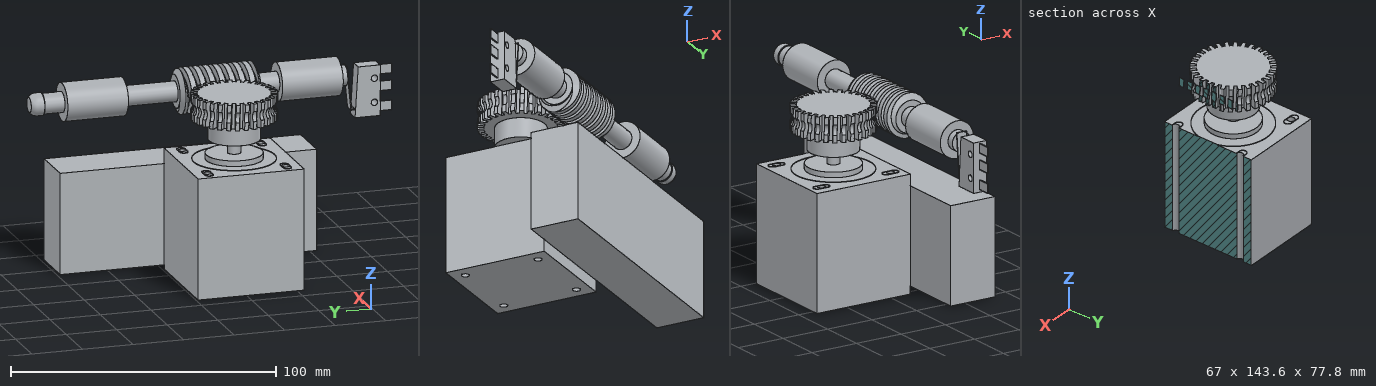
import cadquery as cq
import math

motor_width = 42.0
motor_height = 47.8
axis_distance = 24.0
worm_axis_z = 68.75

face_relief = 0.2
face_disc_diameter = 32.0
boss_diameter = 22.0
boss_height = 2.2
motor_shaft_diameter = 5.0
screw_spacing = 31.0
screw_hole_diameter = 3.0
pad_length = 7.0
pad_width = 3.2

block_gap = 5.0
block_width = 20.0
block_height = 40.0
block_front_y = -41.1

wheel_teeth = 30
wheel_diameter = 33.0
wheel_root_diameter = 28.0
wheel_thickness = 10.0
wheel_helix_angle = 2.0
gap_tip_width = 1.9
gap_root_width = 1.2
cut_clearance = 1.0
throat_width = 4.0
throat_depth = 0.8
hub_diameter = 20.0
hub_height = 8.0

worm_diameter = 18.0
worm_root_diameter = 13.0
worm_length = 32.0
worm_center_y = -0.25
worm_pitch = 3.9
worm_end_chamfer = 1.5
thread_crest_width = 2.2
thread_root_width = 3.2
thread_overlap = 0.3
thread_crest_y = 0.86

rod_diameter = 8.0
rod_front_y = -51.5
rod_length = 120.0
bearing_diameter = 15.0
bearing_length = 24.0
rear_bearing_y = 36.5
front_bearing_y = -48.5
cap_diameter = 8.9
cap_tip_diameter = 5.9
cap_ring_length = 2.2
cap_dome_length = 2.8

switch_width = 6.0
switch_height = 20.0
switch_top_z = 72.5
switch_back_y = -64.6
switch_depth_top = 8.75
switch_depth_bottom = 10.0
switch_hole_diameter = 2.5
switch_hole_y = -62.3
switch_hole_spacing = 9.5
switch_hole_center_z = 62.7
terminal_length = 5.48
terminal_height = 3.8
terminal_thickness = 0.5
terminal_centers_z = (69.9, 63.3, 55.4)
lever_width = 4.4
lever_thickness = 0.4
lever_top_z = 72.8
lever_bottom_z = 55.8
lever_drop = 1.7

wheel_bottom_z = worm_axis_z - wheel_thickness / 2
hub_bottom_z = wheel_bottom_z - hub_height
rod_end_y = rod_front_y + rod_length
block_left_x = motor_width / 2 + block_gap
block_length = rear_bearing_y + bearing_length - block_front_y
worm_front_y = worm_center_y - worm_length / 2
worm_rear_y = worm_center_y + worm_length / 2


def cylinder_along_y(diameter, start_y, length):
    """Cylinder on the worm axis, running from start_y toward +Y."""
    plane = cq.Plane(origin=(axis_distance, start_y, worm_axis_z), xDir=(1, 0, 0), normal=(0, 1, 0))
    return cq.Workplane(plane).circle(diameter / 2).extrude(length)


def revolve_on_worm_axis(half_profile):
    """Spin a closed (radius, y) profile, drawn in the XY plane, and move it to the worm axis."""
    return half_profile.close().revolve(360, (0, 0), (0, 1)).translate((axis_distance, 0, worm_axis_z))


def make_motor():
    top = cq.Workplane("XY", origin=(0, 0, motor_height))
    motor = cq.Workplane("XY").rect(motor_width, motor_width).extrude(motor_height)
    motor = motor.union(top.circle(face_disc_diameter / 2).extrude(face_relief))
    motor = motor.union(top.circle(boss_diameter / 2).extrude(face_relief + boss_height))
    motor = motor.union(top.circle(motor_shaft_diameter / 2).extrude(hub_bottom_z - motor_height))
    pads = top.rect(screw_spacing, screw_spacing, forConstruction=True).vertices()
    motor = motor.union(pads.slot2D(pad_length, pad_width).extrude(face_relief))
    holes = cq.Workplane("XY").rect(screw_spacing, screw_spacing, forConstruction=True).vertices()
    return motor.cut(holes.circle(screw_hole_diameter / 2).extrude(motor_height + face_relief))


def make_block():
    corner = (block_left_x, block_front_y, 0)
    return cq.Workplane("XY", origin=corner).box(block_width, block_length, block_height, centered=False)


def make_wheel():
    tip_radius = wheel_diameter / 2
    root_radius = wheel_root_diameter / 2
    blank = cq.Workplane("XY", origin=(0, 0, wheel_bottom_z)).circle(tip_radius).extrude(wheel_thickness)

    throat = (
        cq.Workplane("XZ", origin=(0, 0, worm_axis_z))
        .moveTo(tip_radius, -throat_width / 2)
        .threePointArc((tip_radius - throat_depth, 0), (tip_radius, throat_width / 2))
        .close()
        .revolve(360, (0, 0), (0, 1))
    )
    blank = blank.cut(throat)

    flank_slope = (gap_tip_width - gap_root_width) / 2 / (tip_radius - root_radius)
    outer_radius = tip_radius + cut_clearance
    outer_half_width = gap_tip_width / 2 + flank_slope * (outer_radius - tip_radius)
    twist = math.degrees(wheel_thickness * math.tan(math.radians(wheel_helix_angle)) / tip_radius)
    gap = (
        cq.Workplane("XY", origin=(0, 0, wheel_bottom_z))
        .polyline([
            (root_radius, -gap_root_width / 2),
            (outer_radius, -outer_half_width),
            (outer_radius, outer_half_width),
            (root_radius, gap_root_width / 2),
        ])
        .close()
        .twistExtrude(wheel_thickness, twist)
    )
    pitch_angle = 360 / wheel_teeth
    axis_start, axis_end = (0, 0, 0), (0, 0, 1)
    gaps = [
        gap.rotate(axis_start, axis_end, (i + 0.5) * pitch_angle - twist).val()
        for i in range(wheel_teeth)
    ]
    wheel = cq.Workplane(blank.val().cut(*gaps))

    hub = cq.Workplane("XY", origin=(0, 0, hub_bottom_z)).circle(hub_diameter / 2).extrude(hub_height)
    return wheel.union(hub).cut(cylinder_along_y(worm_diameter, worm_front_y, worm_length))


def make_worm():
    crest_radius = worm_diameter / 2
    root_radius = worm_root_diameter / 2
    envelope = revolve_on_worm_axis(
        cq.Workplane("XY").polyline([
            (0, worm_front_y),
            (root_radius, worm_front_y),
            (crest_radius, worm_front_y + worm_end_chamfer),
            (crest_radius, worm_rear_y - worm_end_chamfer),
            (root_radius, worm_rear_y),
            (0, worm_rear_y),
        ])
    )

    turns_each_side = math.ceil(worm_length / 2 / worm_pitch)
    start_y = thread_crest_y - turns_each_side * worm_pitch
    path = cq.Wire.makeHelix(worm_pitch, 2 * turns_each_side * worm_pitch, root_radius)
    thread = (
        cq.Workplane("XZ")
        .polyline([
            (root_radius - thread_overlap, -thread_root_width / 2),
            (root_radius, -thread_root_width / 2),
            (crest_radius, -thread_crest_width / 2),
            (crest_radius + thread_overlap, -thread_crest_width / 2),
            (crest_radius + thread_overlap, thread_crest_width / 2),
            (crest_radius, thread_crest_width / 2),
            (root_radius, thread_root_width / 2),
            (root_radius - thread_overlap, thread_root_width / 2),
        ])
        .close()
        .sweep(path, isFrenet=True)
        .rotate((0, 0, 0), (1, 0, 0), -90)
        .translate((axis_distance, start_y, worm_axis_z))
    )
    core = cylinder_along_y(worm_root_diameter, worm_front_y, worm_length)
    bore = cylinder_along_y(rod_diameter, worm_front_y, worm_length)
    return core.union(thread.intersect(envelope)).cut(bore)


def make_rod():
    return cylinder_along_y(rod_diameter, rod_front_y, rod_length)


def make_bearing(start_y):
    shell = cylinder_along_y(bearing_diameter, start_y, bearing_length)
    return shell.cut(cylinder_along_y(rod_diameter, start_y, bearing_length))


def make_end_cap():
    ring_end_y = rod_end_y + cap_ring_length
    tip_y = ring_end_y + cap_dome_length
    return revolve_on_worm_axis(
        cq.Workplane("XY")
        .moveTo(0, rod_end_y)
        .lineTo(cap_diameter / 2, rod_end_y)
        .lineTo(cap_diameter / 2, ring_end_y)
        .tangentArcPoint((cap_tip_diameter / 2, tip_y), relative=False)
        .lineTo(0, tip_y)
    )


def make_switch():
    side = cq.Workplane("YZ", origin=(axis_distance, 0, 0))
    bottom_z = switch_top_z - switch_height
    top_front_y = switch_back_y + switch_depth_top
    bottom_front_y = switch_back_y + switch_depth_bottom
    switch = (
        side.polyline([
            (switch_back_y, bottom_z),
            (bottom_front_y, bottom_z),
            (top_front_y, switch_top_z),
            (switch_back_y, switch_top_z),
        ])
        .close()
        .extrude(switch_width / 2, both=True)
    )
    hole_places = [(switch_hole_y, switch_hole_center_z + s * switch_hole_spacing / 2) for s in (-1, 1)]
    holes = side.pushPoints(hole_places).circle(switch_hole_diameter / 2)
    switch = switch.cut(holes.extrude(switch_width / 2, both=True))

    terminal_places = [(switch_back_y - terminal_length / 2, z) for z in terminal_centers_z]
    terminals = side.pushPoints(terminal_places).rect(terminal_length, terminal_height)
    switch = switch.union(terminals.extrude(terminal_thickness / 2, both=True))

    blade_top_y = rod_front_y - lever_thickness
    blade_bottom_y = blade_top_y - lever_drop
    lever = (
        side.polyline([
            (switch_back_y + switch_depth_top, lever_bottom_z - lever_thickness),
            (blade_bottom_y + lever_thickness, lever_bottom_z - lever_thickness),
            (rod_front_y, lever_top_z),
            (blade_top_y, lever_top_z),
            (blade_bottom_y, lever_bottom_z),
            (switch_back_y + switch_depth_top, lever_bottom_z),
        ])
        .close()
        .extrude(lever_width / 2, both=True)
    )
    return switch.union(lever)


motor = make_motor()
block = make_block()
wheel = make_wheel()
worm = make_worm()
rod = make_rod()
bearings = [make_bearing(start_y) for start_y in (front_bearing_y, rear_bearing_y)]
end_cap = make_end_cap()
switch = make_switch()

result = cq.Compound.makeCompound([
    motor.val(),
    block.val(),
    wheel.val(),
    worm.val(),
    rod.val(),
    *[bearing.val() for bearing in bearings],
    end_cap.val(),
    switch.val(),
])